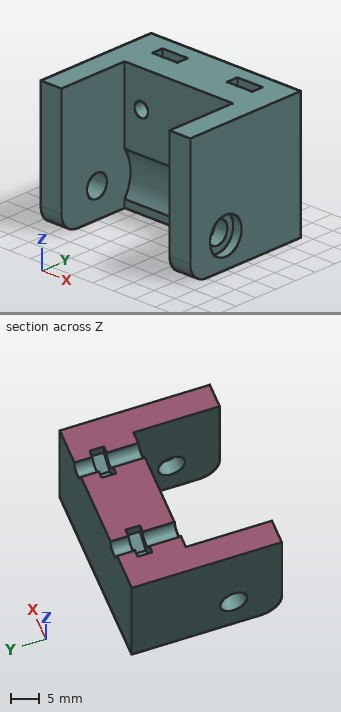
import cadquery as cq
import math

width = 36.0
depth = 28.0
height = 28.0

arm_thickness = 5.0
back_thickness = 12.0
arm_corner_radius = 4.0

pivot_from_back = 19.0
pivot_height = 6.5
pivot_diameter = 5.0
head_recess_diameter = 8.0
head_recess_depth = 2.0
clearance_radius = 8.5

screw_offset = 9.0
screw_diameter = 3.2
screw_height = height - 8.0
nut_across_flats = 6.0
nut_slot_thickness = 2.6
nut_slot_from_back = 3.42

inner_width = width - 2 * arm_thickness


def cylinder_along_x(radius, length, centre_x=0):
    """Cylinder on the pivot axis, centred at the given X."""
    return (
        cq.Workplane("YZ", origin=(centre_x, 0, 0))
        .center(-pivot_from_back, pivot_height)
        .circle(radius)
        .extrude(length / 2, both=True)
    )


def bracket_body():
    block = (
        cq.Workplane("XY")
        .box(width, depth, height, centered=(True, False, False))
        .translate((0, -depth, 0))
        .edges("|X and <Y and <Z")
        .fillet(arm_corner_radius)
    )
    opening_depth = depth - back_thickness
    opening = (
        cq.Workplane("XY")
        .box(inner_width, opening_depth, height, centered=(True, False, False))
        .translate((0, -depth, 0))
    )
    return block.cut(opening)


def head_recess():
    centre_x = (width - head_recess_depth) / 2
    return cylinder_along_x(head_recess_diameter / 2, head_recess_depth, centre_x)


def screw_hole(x):
    return (
        cq.Workplane("XZ")
        .center(x, screw_height)
        .circle(screw_diameter / 2)
        .extrude(back_thickness)
    )


def nut_slot(x):
    """Slot with vertical sides and a V bottom that fits a nut standing on a corner."""
    half_width = nut_across_flats / 2
    corner_radius = nut_across_flats / math.sqrt(3)
    side_bottom = screw_height - corner_radius / 2
    return (
        cq.Workplane("XZ", origin=(x, -nut_slot_from_back, 0))
        .moveTo(-half_width, height)
        .lineTo(-half_width, side_bottom)
        .lineTo(0, screw_height - corner_radius)
        .lineTo(half_width, side_bottom)
        .lineTo(half_width, height)
        .close()
        .extrude(nut_slot_thickness)
    )


result = bracket_body()
result = result.cut(cylinder_along_x(clearance_radius, inner_width))
result = result.cut(cylinder_along_x(pivot_diameter / 2, width))
result = result.cut(head_recess())
for screw_x in (-screw_offset, screw_offset):
    result = result.cut(screw_hole(screw_x))
    result = result.cut(nut_slot(screw_x))

result = result.translate((0, depth / 2, -height / 2))